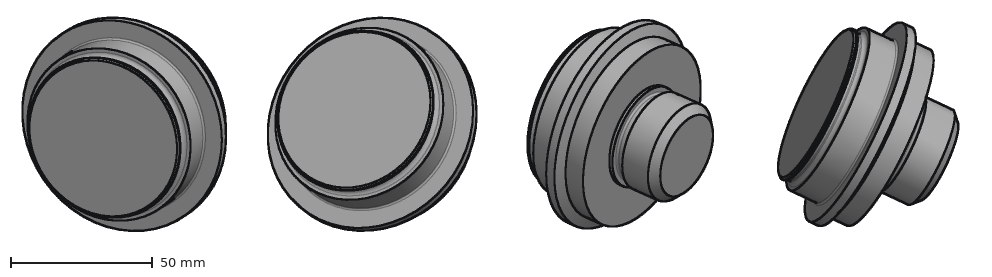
import cadquery as cq
import math


flange_radius = 77.5 / 2
hub_radius = 68.8 / 2
body_radius = 63.4 / 2
lip_radius = 58.7 / 2
groove_radius = 57.25 / 2
collar_radius = 38.1 / 2
head_radius = 37.1 / 2
neck_radius = 32.5 / 2

lip_end = 1.4
body_start = 4.9
flange_start = 15.95
flange_rim_end = 19.6
flange_cone_end = 21.2
hub_end = 29.0
collar_end = 30.4
head_start = 34.3
head_end = 48.8

lip_chamfer = 0.7
head_chamfer = 3.1
groove_fillet = 1.6
body_fillet = 0.7
neck_fillet = 0.8

DIAGONAL = math.sqrt(0.5)

lip_arc_angle = math.acos(1 - (lip_radius - groove_radius) / groove_fillet)
groove_floor_start = lip_end + groove_fillet * math.sin(lip_arc_angle)
lip_arc_middle = (
    groove_radius + groove_fillet * (1 - math.cos(lip_arc_angle / 2)),
    groove_floor_start - groove_fillet * math.sin(lip_arc_angle / 2),
)


def fillet_to_face(profile, shaft_radius, face, size):
    """Round from a shaft, heading +Y, outward to a face."""
    middle = (shaft_radius + size * (1 - DIAGONAL), face - size * (1 - DIAGONAL))
    return profile.threePointArc(middle, (shaft_radius + size, face))


def fillet_from_face(profile, shaft_radius, face, size):
    """Round from a face inward onto a shaft that continues toward +Y."""
    middle = (shaft_radius + size * (1 - DIAGONAL), face + size * (1 - DIAGONAL))
    return profile.lineTo(shaft_radius + size, face).threePointArc(middle, (shaft_radius, face + size))


profile = (
    cq.Workplane("XY")
    .lineTo(lip_radius - lip_chamfer, 0)
    .lineTo(lip_radius, lip_chamfer)
    .lineTo(lip_radius, lip_end)
    .threePointArc(lip_arc_middle, (groove_radius, groove_floor_start))
    .lineTo(groove_radius, body_start - groove_fillet)
)
profile = fillet_to_face(profile, groove_radius, body_start, groove_fillet)

profile = profile.lineTo(body_radius, body_start).lineTo(body_radius, flange_start - body_fillet)
profile = fillet_to_face(profile, body_radius, flange_start, body_fillet)

profile = (
    profile.lineTo(flange_radius, flange_start)
    .lineTo(flange_radius, flange_rim_end)
    .lineTo(hub_radius, flange_cone_end)
    .lineTo(hub_radius, hub_end)
    .lineTo(collar_radius, hub_end)
    .lineTo(collar_radius, collar_end)
)

profile = fillet_from_face(profile, neck_radius, collar_end, neck_fillet)
profile = profile.lineTo(neck_radius, head_start - neck_fillet)
profile = fillet_to_face(profile, neck_radius, head_start, neck_fillet)

profile = (
    profile.lineTo(head_radius, head_start)
    .lineTo(head_radius, head_end - head_chamfer)
    .lineTo(head_radius - head_chamfer, head_end)
    .lineTo(0, head_end)
    .close()
)

result = profile.revolve(360, (0, 0, 0), (0, 1, 0))